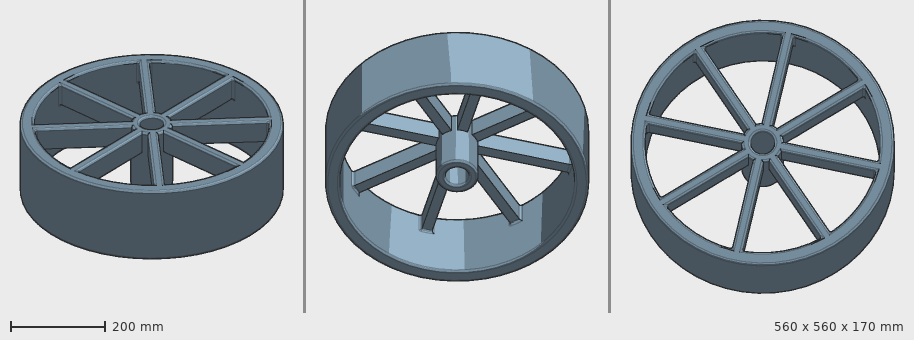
import cadquery as cq
import math

rim_radius = 280.0
rim_height = 170.0
rim_inner_radius = 250.0

hub_radius = 45.0
hub_height = 150.0
bore_radius = 25.0

spoke_count = 8
spoke_width = 22.5
spoke_depth = 50.0

edge_round = 5.0

margin = 0.5

top = rim_height / 2
spoke_bottom = top - spoke_depth


def rounded_ring(outer_radius, inner_radius, height):
    """Ring hanging from the top plane, with all its circular edges rounded."""
    ring = cq.Workplane("XY").workplane(offset=top - height)
    ring = ring.circle(outer_radius).circle(inner_radius).extrude(height)
    return ring.edges("%CIRCLE").fillet(edge_round)


def spoke(angle):
    """Bar from mid hub wall to mid rim wall, with its long top edges rounded."""
    start = (bore_radius + hub_radius) / 2
    end = (rim_inner_radius + rim_radius) / 2
    bar = cq.Workplane("XY").box(end - start, spoke_width, spoke_depth, centered=(False, True, False))
    bar = bar.edges("|X and >Z").fillet(edge_round)
    return bar.translate((start, 0, spoke_bottom)).rotate((0, 0, 0), (0, 0, 1), angle)


def meets_rim_wall(edge):
    """True for the inside corners where a spoke's sides and underside meet the rim wall."""
    centre = edge.Center()
    distance_from_wall = rim_inner_radius - math.hypot(centre.x, centre.y)
    below_rounds = spoke_bottom - margin < centre.z < top - edge_round - margin
    return abs(distance_from_wall) < margin and below_rounds and edge.Length() < spoke_depth


wheel = rounded_ring(rim_radius, rim_inner_radius, rim_height)
wheel = wheel.union(rounded_ring(hub_radius, bore_radius, hub_height))
for index in range(spoke_count):
    wheel = wheel.union(spoke(index * 360 / spoke_count))

blend_edges = [edge for edge in wheel.edges().vals() if meets_rim_wall(edge)]
result = wheel.newObject(blend_edges).fillet(edge_round)